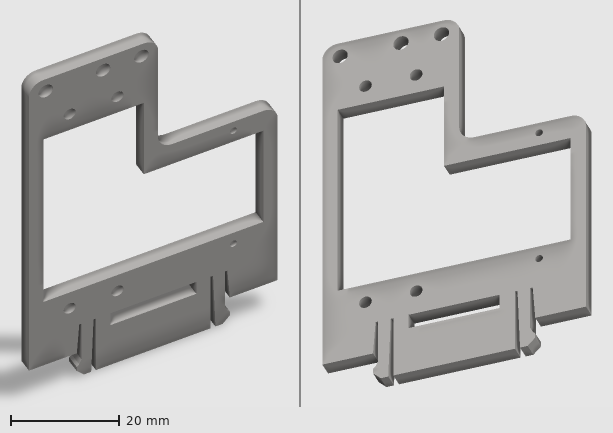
import cadquery as cq

thickness = 3.0
plate_width = 52.0
plate_top = 78.0
half_width = plate_width / 2

shoulder_z = 6.0
step_y = 1.0
step_z = 50.0
corner_radius = 3.0

frame_wall = 3.0
window_bottom = 22.0
window_top = 63.0
window_step_z = 45.0

slot_top = 13.0
tongue_half_width = 12.0
arm_inner_top_y = 12.5
arm_inner_tip_y = 13.0
arm_outer_y = 15.0
outer_slot_top_y = 15.5
outer_slot_mouth_y = 16.0
barb_y = 16.0
barb_knee_y = 15.5
barb_start_z = 4.0
barb_knee_z = 3.0
barb_upper_z = 2.5
barb_lower_z = 1.5
arm_tip_y = barb_y - barb_lower_z

tongue_slot_width = 18.0
tongue_slot_height = 3.0

large_hole_diameter = 3.0
large_hole_z = 75.0
large_hole_centers = [(y, large_hole_z) for y in (-2.5, -10.5, -22.5)]

medium_hole_diameter = 2.5
medium_hole_centers = [(y, z) for y in (-7.5, -17.5) for z in (18.0, 67.0)]

small_hole_diameter = 1.5
small_hole_y = 16.75
small_hole_low_z = 19.25
small_hole_spacing = 28.5
small_hole_centers = [(small_hole_y, small_hole_low_z + rise) for rise in (0, small_hole_spacing)]


def plate(outline):
    """Extrude a closed (Y, Z) outline through the plate thickness."""
    return cq.Workplane("YZ").polyline(outline).close().extrude(thickness / 2, both=True)


def mirrored(points):
    """Reflect (Y, Z) points to the other side of the tongue."""
    return [(-y, z) for y, z in points]


def frame():
    """L-shaped blank; every corner above its lower edge is rounded."""
    blank = plate([
        (-half_width, shoulder_z),
        (half_width, shoulder_z),
        (half_width, step_z),
        (step_y, step_z),
        (step_y, plate_top),
        (-half_width, plate_top),
    ])
    return blank.edges("|X and (not <Z)").fillet(corner_radius)


def window():
    """L-shaped opening that follows the frame."""
    side = half_width - frame_wall
    inner_step_y = step_y - frame_wall
    return plate([
        (-side, window_bottom),
        (side, window_bottom),
        (side, window_step_z),
        (inner_step_y, window_step_z),
        (inner_step_y, window_top),
        (-side, window_top),
    ])


def clip_gap():
    """Opening in the lower edge that makes room for the tongue and arms."""
    half = [(outer_slot_mouth_y, shoulder_z), (outer_slot_top_y, slot_top)]
    return plate(half + mirrored(half)[::-1])


def tongue():
    """Central tongue with its rectangular slot."""
    blade = plate([
        (-tongue_half_width, 0),
        (tongue_half_width, 0),
        (tongue_half_width, slot_top),
        (-tongue_half_width, slot_top),
    ])
    slot_z = slot_top - tongue_slot_height / 2
    slot = cq.Workplane("XY").box(thickness, tongue_slot_width, tongue_slot_height)
    return blade.cut(slot.translate((0, 0, slot_z)))


def spring_arms():
    """Pair of tapered arms, each ending in an outward barb."""
    outline = [
        (arm_inner_top_y, slot_top),
        (arm_inner_tip_y, 0),
        (arm_tip_y, 0),
        (barb_y, barb_lower_z),
        (barb_y, barb_upper_z),
        (barb_knee_y, barb_knee_z),
        (arm_outer_y, barb_start_z),
        (arm_outer_y, slot_top),
    ]
    return plate(outline).union(plate(mirrored(outline)))


def holes(centers, diameter):
    """Round holes through the plate."""
    sketch = cq.Workplane("YZ").pushPoints(centers)
    return sketch.circle(diameter / 2).extrude(thickness / 2, both=True)


result = frame().cut(window()).cut(clip_gap())
result = result.union(tongue()).union(spring_arms())

result = result.cut(holes(large_hole_centers, large_hole_diameter))
result = result.cut(holes(medium_hole_centers, medium_hole_diameter))
result = result.cut(holes(small_hole_centers, small_hole_diameter))